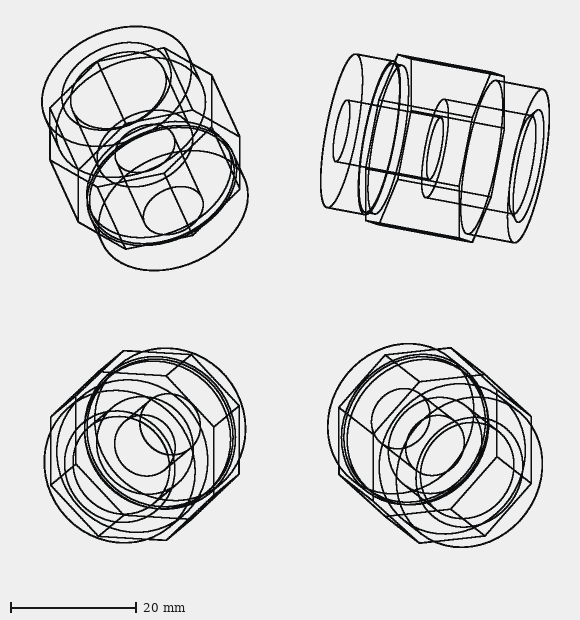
import cadquery as cq
import math

total_length = 31.0
collar_length = 7.75
octagon_length = 15.5
groove_width = 1.5

across_flats = 27.0
collar_diameter = 25.0
groove_diameter = 24.18

through_diameter = 10.0
socket_diameter = 16.0
socket_depth = 15.5
mouth_diameter = 18.25
mouth_depth = 1.0

octagon_sides = 8
octagon_end = collar_length + octagon_length
across_corners = across_flats / math.cos(math.pi / octagon_sides)


def cylinder(diameter, start, length):
    """Round bar along X, beginning at the given X position."""
    return cq.Workplane("YZ", origin=(start, 0, 0)).circle(diameter / 2).extrude(length)


def octagon_body():
    """Octagonal wrench section with flats facing Y and Z."""
    blank = cq.Workplane("YZ", origin=(collar_length, 0, 0))
    half_side_angle = 180 / octagon_sides
    return (
        blank.transformed(rotate=(0, 0, half_side_angle))
        .polygon(octagon_sides, across_corners)
        .extrude(octagon_length)
    )


def socket_mouth():
    """Conical lead-in narrowing from the -X face to the socket."""
    return (
        cq.Workplane("XY")
        .polyline([(0, 0), (0, mouth_diameter / 2), (mouth_depth, socket_diameter / 2), (mouth_depth, 0)])
        .close()
        .revolve(360, (0, 0, 0), (1, 0, 0))
    )


rear_start = octagon_end + groove_width
body = (
    cylinder(collar_diameter, 0, collar_length)
    .union(octagon_body())
    .union(cylinder(groove_diameter, octagon_end, groove_width))
    .union(cylinder(collar_diameter, rear_start, total_length - rear_start))
)

result = (
    body.cut(cylinder(through_diameter, 0, total_length))
    .cut(cylinder(socket_diameter, 0, socket_depth))
    .cut(socket_mouth())
)